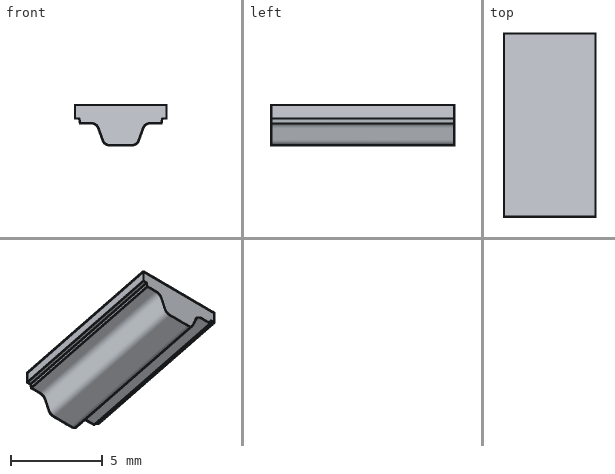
import cadquery as cq
import math

pitch = 5.0
belt_width = 10.0
total_height = 2.2

edge_thickness = 0.75
back_thickness = 1.0
land_top_half_width = 2.27
land_bottom_half_width = 2.22

tooth_root_width = 2.65
flank_angle = 20.0
root_radius = 0.4
tip_radius = 0.4

land_z = total_height - back_thickness
edge_z = total_height - edge_thickness
half_pitch = pitch / 2
root_half_width = tooth_root_width / 2
tip_half_width = root_half_width - land_z * math.tan(math.radians(flank_angle))

right_side = [
    (half_pitch, total_height),
    (half_pitch, edge_z),
    (land_top_half_width, edge_z),
    (land_bottom_half_width, land_z),
    (root_half_width, land_z),
    (tip_half_width, 0),
]
left_side = [(-x, z) for x, z in reversed(right_side)]


def round_tooth_corners(body, half_width, z, radius):
    """Fillet the two lengthwise tooth edges at the given height."""
    for side in (-1, 1):
        edge_point = (side * half_width, 0, z)
        body = body.edges(cq.selectors.NearestToPointSelector(edge_point)).fillet(radius)
    return body


belt = (
    cq.Workplane("XZ")
    .polyline(right_side + left_side)
    .close()
    .extrude(belt_width / 2, both=True)
)
belt = round_tooth_corners(belt, root_half_width, land_z, root_radius)
result = round_tooth_corners(belt, tip_half_width, 0, tip_radius)